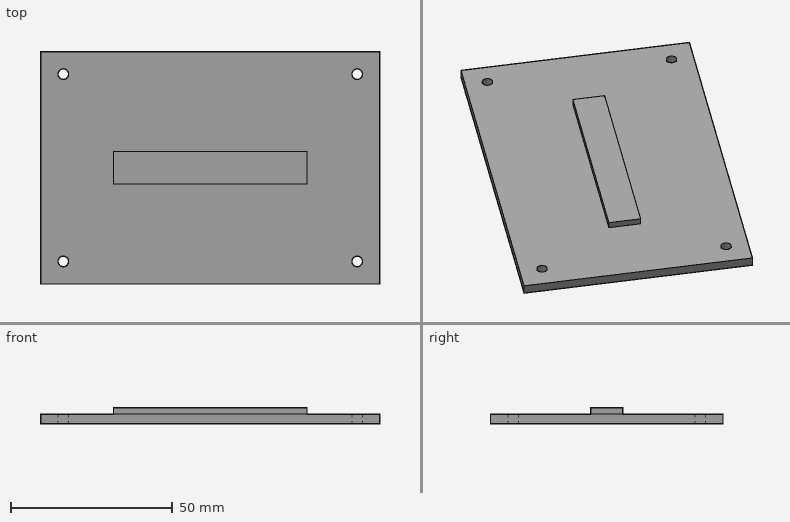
import cadquery as cq

plate_length = 105.0
plate_width = 72.0
plate_thickness = 3.0

bar_length = 60.0
bar_width = 10.0
bar_height = 2.0

hole_diameter = 3.2
hole_edge_distance = 7.0


def make_plate():
    """Flat plate centred on the Z axis, resting on Z = 0."""
    return cq.Workplane("XY").box(
        plate_length, plate_width, plate_thickness, centered=(True, True, False)
    )


def add_bar(body):
    """Raise the rectangular bar from the top face."""
    return body.faces(">Z").workplane().rect(bar_length, bar_width).extrude(bar_height)


def cut_corner_holes(body):
    """Drill one through hole at each corner of the plate."""
    spacing_x = plate_length - 2 * hole_edge_distance
    spacing_y = plate_width - 2 * hole_edge_distance
    return (
        body.faces("<Z")
        .workplane()
        .rect(spacing_x, spacing_y, forConstruction=True)
        .vertices()
        .hole(hole_diameter)
    )


result = cut_corner_holes(add_bar(make_plate()))